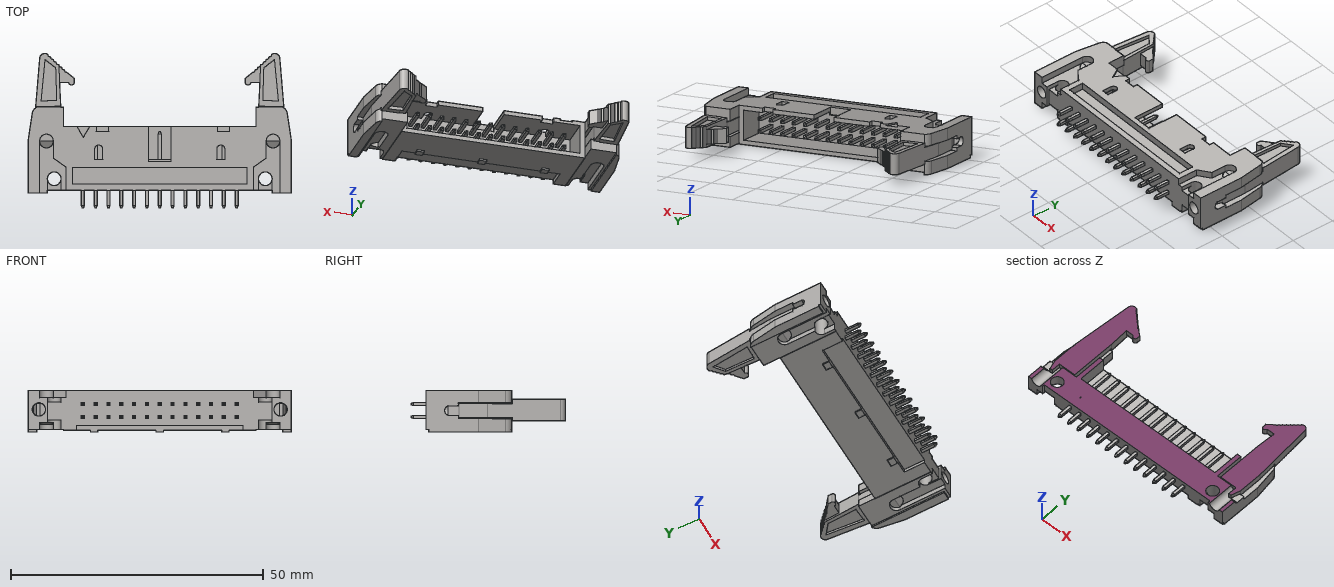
import cadquery as cq
import math


overall_width = 52.22
overall_height = 8.3
half_width = overall_width / 2
pitch = 2.54
pins_per_row = 13
pin_width = 0.64
pin_tip_length = 0.55
pin_tip_width = 0.25
pin_rear_y = -3.5
pin_front_y = 11.7

standoff = 0.35
pin_rows_z = 4.3
row_z = [pin_rows_z - pitch / 2, pin_rows_z + pitch / 2]

body_half_width = 19.06
body_length = 12.72
top_wall = 0.9
cavity_floor_y = 6.18
cavity_half_width = 18.0
key_width = 4.45
key_end_y = 5.7
key_depth = 1.5
window_x = 12.1
window_width = 1.6
window_end_y = 9.0
edge_notch_xs = (-11.35, 12.65)
edge_notch_width = 2.4
edge_notch_depth = 1.0
mark_x = 15.15
mark_width = 2.55
mark_length = 2.2
mark_depth = 0.3
recess_half_width = 17.3
recess_y = (1.27, 4.6)
recess_depth = 1.5
under_recess_half_width = 16.45
under_recess_depth = 0.95
foot_pad_x = 13.0
foot_pad_size = 1.5

ear_rear_y = -0.5
ear_front_y = 16.5
ear_bottom_z = 0.5
ear_bend_y = 9.86
ear_shoulder_start = (-25.3, 15.25)
ear_shoulder_arc = (-25.0, 16.0)
ear_shoulder_x = -24.4
ear_step_x = -22.25
foot_strip_x = -24.35
channel_left_x = -23.82
channel_right_x = -21.1
channel_depth = 1.45
channel_center_x = (channel_left_x + channel_right_x) / 2
channel_radius = (channel_right_x - channel_left_x) / 2
channel_bend_y = 6.42
channel_wide_x = -18.55
channel_wide_y = 4.62
pivot_y = 9.8
pivot_slope_depth = 0.8
pivot_bump_height = 0.4
mount_x = -20.92
mount_y = 2.33
mount_radius = 1.33
mount_seat_depth = 0.88
rear_hole_x = -23.95
rear_hole_z = 4.5
rear_hole_radius = 1.3

latch_mid_z = 4.4
arm_mid_z = 4.28
latch_thickness = 4.3
arm_thickness = 2.8
arm_clearance = 0.18
arm_end_y = 6.0
arm_tail_y = 3.9
arm_bend_y = 11.67
arm_inner_x = -19.6
slot_end_y = 5.9
side_slot_height = 1.85
side_slot_end_y = 3.2
side_slot_arc_y = 3.85
side_slot_floor_x = -23.8
hook_thickness = 3.0
latch_pocket_depth = 0.7
tooth_count = 7
tooth_depth = 0.18
finger_base_y = 16.6
finger_step_x = -20.8
finger_step_y = 16.78
finger_outer_low = (-24.62, finger_base_y)
finger_outer_high = (-23.82, 26.2)
finger_tip_arc = (-23.15, 27.115)
finger_knee_x = -20.0
finger_pocket = [(-22.74, 25.95), (-20.62, 24.3), (-20.42, 17.88), (-23.52, 17.72)]
slope_start = (-22.2, 27.0)
slope_end = (-18.35, 23.4)
hook_tip_x = -16.92
hook_tip_y = (21.35, 22.2)
hook_under_y = 21.4
hook_lip_x = -18.05
hook_lip_arc = (-17.55, 20.9)
hook_overlap = 0.3
tail_width = 0.7
tail_outer_x = -24.4


def box(x_range, y_range, z_range):
    """Axis-aligned block between the given coordinate pairs."""
    size = [r[1] - r[0] for r in (x_range, y_range, z_range)]
    corner = (x_range[0], y_range[0], z_range[0])
    return cq.Workplane("XY").box(*size, centered=False).translate(corner)


def centered(center, size):
    return (center - size / 2, center + size / 2)


def prism(points, z_range):
    """Straight-sided outline raised between two heights."""
    outline = cq.Workplane("XY").workplane(offset=z_range[0]).polyline(points).close()
    return outline.extrude(z_range[1] - z_range[0])


def cylinder(x, y, radius, z_range):
    base = cq.Workplane("XY").workplane(offset=z_range[0]).center(x, y)
    return base.circle(radius).extrude(z_range[1] - z_range[0])


def both_sides(shape):
    """The shape together with its mirror image across X = 0."""
    return shape.union(shape.mirror("YZ"))


def make_body():
    x_range = (-body_half_width, body_half_width)
    body = box(x_range, (0, body_length), (standoff, overall_height))
    roof_z = overall_height - top_wall
    body = body.cut(box((-cavity_half_width, cavity_half_width), (cavity_floor_y, body_length),
                        (standoff + top_wall, roof_z)))
    roof = (roof_z, overall_height)
    body = body.cut(box(centered(0, key_width), (key_end_y, body_length),
                        (overall_height - key_depth, overall_height)))

    arc_y = window_end_y - window_width / 2
    window = box(centered(-window_x, window_width), (cavity_floor_y, arc_y), roof)
    window = window.union(cylinder(-window_x, arc_y, window_width / 2, roof))
    body = body.cut(both_sides(window))
    for x in edge_notch_xs:
        notch_y = (body_length - edge_notch_depth, body_length)
        body = body.cut(box(centered(x, edge_notch_width), notch_y, roof))

    triangle = [(-mark_x - mark_width / 2, body_length), (-mark_x + mark_width / 2, body_length),
                (-mark_x, body_length - mark_length)]
    body = body.cut(prism(triangle, (overall_height - mark_depth, overall_height)))

    body = body.cut(box((-recess_half_width, recess_half_width), recess_y,
                        (overall_height - recess_depth, overall_height)))
    body = body.cut(box((-under_recess_half_width, under_recess_half_width), (0, recess_y[1]),
                        (standoff, standoff + under_recess_depth)))

    for x in (-foot_pad_x, 0, foot_pad_x):
        pad_y = (recess_y[1], recess_y[1] + foot_pad_size)
        body = body.union(box(centered(x, foot_pad_size), pad_y, (0, standoff + top_wall)))
    return body


def ear_block(bottom_z):
    """Solid ear, with no cavities, from the given height up to the top face."""
    outline = (
        cq.Workplane("XY").workplane(offset=bottom_z)
        .moveTo(-half_width, ear_rear_y)
        .lineTo(-half_width, ear_bend_y)
        .lineTo(*ear_shoulder_start)
        .threePointArc(ear_shoulder_arc, (ear_shoulder_x, ear_front_y))
        .lineTo(-body_half_width, ear_front_y)
        .lineTo(-body_half_width, 0)
        .lineTo(ear_step_x, 0)
        .lineTo(ear_step_x, ear_rear_y)
        .close()
    )
    return outline.extrude(overall_height - bottom_z)


def make_channels():
    """Open channels in the ear's top and bottom faces, each with a round front end."""
    channel_floor = overall_height - channel_depth
    top = (channel_floor, overall_height)
    bottom = (ear_bottom_z, ear_bottom_z + channel_depth)
    channels = prism([(channel_left_x, ear_rear_y), (channel_left_x, pivot_y), (channel_right_x, pivot_y),
                      (channel_right_x, channel_bend_y), (channel_wide_x, channel_wide_y),
                      (channel_wide_x, ear_rear_y)], top)
    channels = channels.union(box((channel_left_x, channel_right_x), (ear_rear_y, pivot_y), bottom))
    for z_range in (top, bottom):
        channels = channels.union(cylinder(channel_center_x, pivot_y, channel_radius, z_range))
    slope = (
        cq.Workplane("YZ").workplane(offset=channel_left_x)
        .moveTo(pivot_y, channel_floor)
        .lineTo(pivot_y - channel_radius, channel_floor)
        .lineTo(pivot_y - channel_radius, channel_floor - pivot_slope_depth)
        .close().extrude(2 * channel_radius)
    )
    pivot = cylinder(channel_center_x, pivot_y, channel_radius,
                     (channel_floor - pivot_slope_depth, channel_floor))
    return channels.union(slope.intersect(pivot))


def make_mounting_hole():
    """Vertical hole with a seat at each end that opens through the rear face."""
    hole = cylinder(mount_x, mount_y, mount_radius, (0, overall_height))
    seat_x = centered(mount_x, 2 * mount_radius)
    seat_top = overall_height - channel_depth - mount_seat_depth
    seat_bottom = ear_bottom_z + channel_depth + mount_seat_depth / 2
    hole = hole.union(box(seat_x, (0, mount_y), (seat_top, overall_height)))
    return hole.union(box(seat_x, (0, mount_y), (0, seat_bottom)))


def make_latch_slot():
    """Gap the latch swings in, with a narrower round-ended slot behind it."""
    slot_height = arm_thickness + 2 * arm_clearance
    slot = box((-half_width, -body_half_width), (slot_end_y, ear_front_y), centered(arm_mid_z, slot_height))
    side_slot = (
        cq.Workplane("YZ").workplane(offset=-half_width)
        .moveTo(slot_end_y, arm_mid_z - side_slot_height / 2)
        .lineTo(side_slot_arc_y, arm_mid_z - side_slot_height / 2)
        .threePointArc((side_slot_end_y, arm_mid_z), (side_slot_arc_y, arm_mid_z + side_slot_height / 2))
        .lineTo(slot_end_y, arm_mid_z + side_slot_height / 2)
        .close().extrude(side_slot_floor_x + half_width)
    )
    rear_hole = (
        cq.Workplane("XZ", origin=(rear_hole_x, ear_rear_y, rear_hole_z))
        .circle(rear_hole_radius).extrude(-(slot_end_y - ear_rear_y))
    )
    return slot.union(side_slot).union(rear_hole)


def make_ear():
    ear = ear_block(ear_bottom_z)
    strip = box((-half_width, foot_strip_x), (0, ear_front_y), (0, ear_bottom_z))
    ear = ear.union(ear_block(0).intersect(strip))
    return ear.cut(make_latch_slot())


def make_serrations(start, end):
    """V-shaped grip grooves along the sloping finger edge from start to end."""
    step_x = (end[0] - start[0]) / tooth_count
    step_y = (end[1] - start[1]) / tooth_count
    step = math.hypot(step_x, step_y)
    inward = (step_y / step * tooth_depth, -step_x / step * tooth_depth)
    points = [start]
    for i in range(tooth_count):
        x = start[0] + i * step_x
        y = start[1] + i * step_y
        points.append((x + step_x / 2 + inward[0], y + step_y / 2 + inward[1]))
        points.append((x + step_x, y + step_y))
    points.append((end[0] - inward[0], end[1] - inward[1]))
    points.append((start[0] - inward[0], start[1] - inward[1]))
    return prism(points, centered(latch_mid_z, latch_thickness))


def make_finger(slope_knee):
    """Upper lever of the latch, hollowed on both faces."""
    finger_z = centered(latch_mid_z, latch_thickness)
    finger = (
        cq.Workplane("XY").workplane(offset=finger_z[0])
        .moveTo(*finger_outer_low)
        .lineTo(*finger_outer_high)
        .threePointArc(finger_tip_arc, slope_start)
        .lineTo(*slope_knee)
        .lineTo(arm_inner_x, finger_step_y)
        .lineTo(finger_step_x, finger_step_y)
        .lineTo(finger_step_x, finger_base_y)
        .close().extrude(latch_thickness)
    )
    for z in (finger_z[0], finger_z[1] - latch_pocket_depth):
        finger = finger.cut(prism(finger_pocket, (z, z + latch_pocket_depth)))
    return finger


def make_hook(slope_knee):
    """Thinner hook that holds the mating plug."""
    root_x = slope_knee[0] - hook_overlap
    outline = (
        cq.Workplane("XY").workplane(offset=latch_mid_z - hook_thickness / 2)
        .moveTo(root_x, hook_under_y)
        .lineTo(hook_lip_x, hook_under_y)
        .threePointArc(hook_lip_arc, (hook_tip_x, hook_tip_y[0]))
        .lineTo(hook_tip_x, hook_tip_y[1])
        .lineTo(*slope_end)
        .lineTo(*slope_knee)
        .lineTo(root_x, slope_knee[1])
        .close()
    )
    return outline.extrude(hook_thickness)


def make_arm():
    """Lower lever of the latch: it continues the finger's outer face and ends in a tapered tail."""
    lean = (finger_outer_high[0] - finger_outer_low[0]) / (finger_outer_high[1] - finger_outer_low[1])
    outer_x = finger_outer_low[0] - lean * (finger_base_y - arm_bend_y)
    step_outer_x = finger_outer_low[0] + lean * (finger_step_y - finger_base_y)
    arm = prism([(outer_x, arm_end_y), (outer_x, arm_bend_y), (step_outer_x, finger_step_y),
                 (arm_inner_x, finger_step_y), (arm_inner_x, arm_end_y)],
                centered(arm_mid_z, arm_thickness))
    tail_inner_x = tail_outer_x + tail_width
    tail = prism([(outer_x, arm_end_y), (tail_outer_x, arm_tail_y), (tail_inner_x, arm_tail_y),
                  (tail_inner_x, arm_end_y)], centered(arm_mid_z, arm_thickness))
    return arm.union(tail)


def make_pivot():
    """Hinge pin through the ear, with a sloping bump under its lower end."""
    pivot = cylinder(channel_center_x, pivot_y, channel_radius,
                     centered(arm_mid_z, arm_thickness + 4 * arm_clearance))
    bump_top = ear_bottom_z + channel_depth
    bump_z = (bump_top - pivot_bump_height, bump_top)
    bump = (
        cq.Workplane("YZ").workplane(offset=channel_left_x)
        .moveTo(pivot_y - channel_radius, bump_top)
        .lineTo(pivot_y, bump_z[0])
        .lineTo(pivot_y + channel_radius, bump_z[0])
        .lineTo(pivot_y + channel_radius, bump_top)
        .close().extrude(2 * channel_radius)
    )
    return pivot.union(bump.intersect(cylinder(channel_center_x, pivot_y, channel_radius, bump_z)))


def make_latch():
    slope = (slope_end[1] - slope_start[1]) / (slope_end[0] - slope_start[0])
    slope_knee = (finger_knee_x, slope_start[1] + slope * (finger_knee_x - slope_start[0]))
    grip = make_finger(slope_knee).union(make_hook(slope_knee))
    grip = grip.cut(make_serrations(slope_start, slope_end))
    return grip.union(make_arm()).union(make_pivot())


def make_pin(x, z):
    """Square pin tapered at both ends."""
    shaft_rear_y = pin_rear_y + pin_tip_length
    shaft_length = pin_front_y - pin_tip_length - shaft_rear_y
    shaft = cq.Workplane("XZ", origin=(x, shaft_rear_y, z)).rect(pin_width, pin_width)
    pin = shaft.extrude(-shaft_length)
    taper = math.degrees(math.atan((pin_width - pin_tip_width) / 2 / pin_tip_length))
    pin = pin.faces("<Y").wires().toPending().workplane().extrude(pin_tip_length, taper=taper)
    return pin.faces(">Y").wires().toPending().workplane().extrude(pin_tip_length, taper=taper)


ear_cuts = make_channels().union(make_mounting_hole())
result = make_body().union(both_sides(make_ear()))
result = result.cut(both_sides(ear_cuts)).union(both_sides(make_latch()))
for column in range(pins_per_row):
    pin_x = (column - (pins_per_row - 1) / 2) * pitch
    for pin_z in row_z:
        result = result.union(make_pin(pin_x, pin_z))